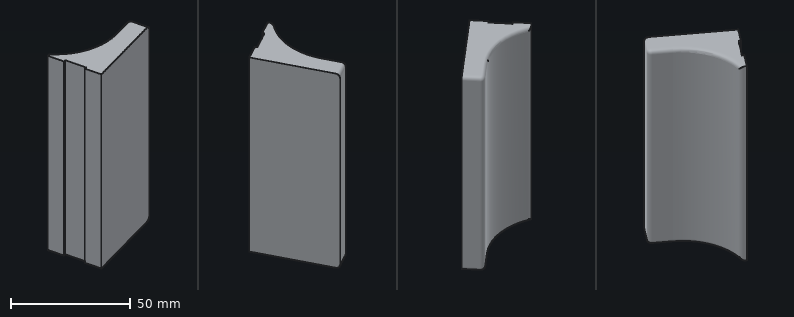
import cadquery as cq
import math

width = 26.1
depth = 40.0
height = 101.6

wall_thickness = 9.9
sweep_start_y = 29.1
sweep_radius = 29.3
edge_radius = 2.0

groove_start_x = 7.9
groove_width = 10.2
groove_depth = 1.0

wall_x = width - wall_thickness
sweep_center_x = wall_x - sweep_radius


def sweep_point(angle):
    """Point on the concave arc, at an angle below the X direction."""
    return (
        sweep_center_x + sweep_radius * math.cos(angle),
        sweep_start_y - sweep_radius * math.sin(angle),
    )


def make_body():
    toe_angle = math.acos(-sweep_center_x / sweep_radius)
    return (
        cq.Workplane("XY")
        .lineTo(width, 0)
        .lineTo(width, depth)
        .lineTo(wall_x, depth)
        .lineTo(wall_x, sweep_start_y)
        .threePointArc(sweep_point(toe_angle / 2), sweep_point(toe_angle))
        .close()
        .extrude(height)
    )


def round_edges(body):
    """Round the hollow face's border and the end edges of the back face."""
    wall_center = (wall_x, (depth + sweep_start_y) / 2, height / 2)
    wall_face = body.faces(cq.selectors.NearestToPointSelector(wall_center))
    wall_border = wall_face.edges("not(<Y)")
    sweep_border = body.faces("%CYLINDER").edges("not(>Y)")
    back_ends = body.faces(">Y").edges("|X")
    rounded_edges = wall_border.add(sweep_border).add(back_ends)
    return rounded_edges.fillet(edge_radius)


def make_groove():
    return (
        cq.Workplane("XY")
        .box(groove_width, groove_depth, height, centered=False)
        .translate((groove_start_x, 0, 0))
    )


result = round_edges(make_body()).cut(make_groove())